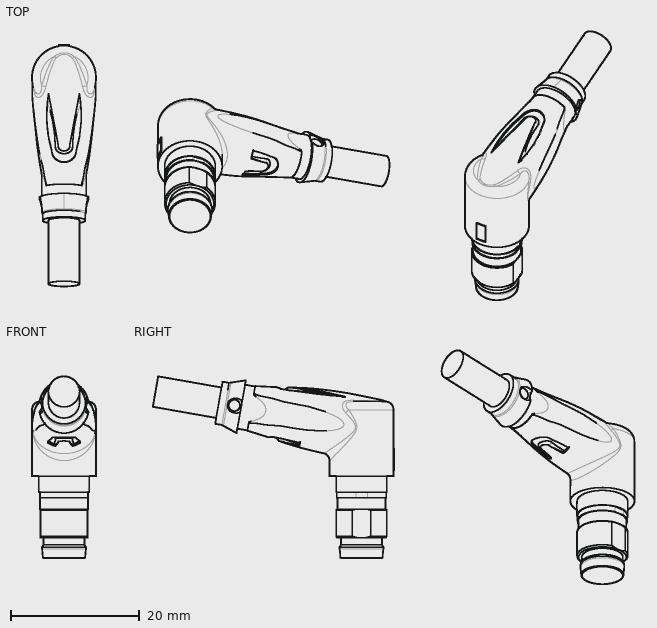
import cadquery as cq
import math

TIP_END_RADIUS = 3.3
TIP_RADIUS = 3.43
TIP_GROOVE_RADIUS = 3.2
TIP_EDGE_BEVEL = 0.12
TIP_RIM_BOTTOM = 1.47
TIP_RIM_TOP = 1.72
TIP_TOP = 2.12
NUT_BOTTOM = 3.17
NUT_TOP = 7.63
NUT_RADIUS = 3.95
NUT_BOTTOM_BEVEL = 0.25
NUT_TOP_BEVEL = 0.15
NUT_FLAT_HALF_WIDTH = 1.42
NECK_RADIUS = 3.74
RING_BOTTOM = 9.39
RING_TOP = 10.29
RING_RADIUS = 3.87
RING_FLAT_HALF_WIDTH = 0.9
SLEEVE_RADIUS = NUT_RADIUS

BODY_RADIUS = 5.0
BODY_BOTTOM = 12.78
BODY_TOP = 24.4
BODY_TOP_FILLET = 1.3
SEAM_FILLET = 1.1
MARK_WIDTH = 1.6
MARK_BOTTOM = 13.7
MARK_TOP = 17.0
MARK_HEIGHT = 0.1

ARM_TILT = 10.0
ARM_AXIS_HEIGHT = 20.28
BOOT_END = 17.4
BOOT_END_RADIUS = 3.55
STRAP_RADIUS = 3.49
STRAP_START = 2.0
COLLAR_START = 18.99
COLLAR_TAPER_END = 21.25
COLLAR_BEVEL_END = 21.5
COLLAR_END = 22.53
COLLAR_HALF_WIDTH = 3.9
COLLAR_HALF_HEIGHT = 4.18
COLLAR_TAPER_RADIUS = 3.42
COLLAR_END_RADIUS = 3.34
CABLE_RADIUS = 2.42
CABLE_END = 32.54

BOOT_BACK = (-4.3, 3.7)
BOOT_OUTLINE = [
    (-3.3, 4.62),
    (-1.5, 4.86),
    (2.5, 4.96),
    (6.2, 4.88),
    (9.6, 4.62),
    (13.2, 4.1),
    (BOOT_END, BOOT_END_RADIUS),
]
BOOT_BACK_INSET = 0.15

SIDE_SECTIONS = [
    (2.0, 5.02, 12.0),
    (7.7, 4.52, 11.0),
    (12.2, 3.98, 6.7),
    (15.0, 3.52, 5.0),
    (BOOT_END, 3.15, 4.39),
]
SIDE_BACK_WIDENING = 0.2

GROOVE_DEPTH = 0.3
GROOVE_TIP = (2.4, 3.3)
GROOVE_OUTER_SIDE = (2.68, 7.2)
GROOVE_OUTER_TURN = (1.9, 12.2)
GROOVE_OUTER_END = 14.0
PAD_TURN = (0.85, 11.6)
PAD_END = 12.25
PAD_SLOPE_TOP = 4.3
PAD_SLOPE_DEPTH = 0.8
PAD_SLOPE_ANGLE = 45.0
LOWER_GROOVE_START = 9.0

DIMPLE_POSITION = 20.07
DIMPLE_FLOOR_RADIUS = 0.88
DIMPLE_FLOOR = 3.2
DIMPLE_MOUTH_RADIUS = 1.45
DIMPLE_MOUTH = 3.9


def disc(radius, bottom, top):
    return cq.Workplane("XY").workplane(offset=bottom).circle(radius).extrude(top - bottom)


def flatted(solid, radius, half_width):
    """Cut flats of the given half width on the -X and +X sides of a round solid."""
    across = 2 * math.sqrt(radius**2 - half_width**2)
    return solid.intersect(cq.Workplane("XY").box(across, 4 * radius, 4 * BODY_TOP))


def make_tip():
    outline = [
        (0, 0),
        (TIP_END_RADIUS - TIP_EDGE_BEVEL, 0),
        (TIP_END_RADIUS, TIP_EDGE_BEVEL),
        (TIP_RADIUS, TIP_RIM_BOTTOM),
        (TIP_RADIUS, TIP_RIM_TOP),
        (TIP_GROOVE_RADIUS, TIP_TOP),
        (TIP_GROOVE_RADIUS, NUT_BOTTOM),
        (0, NUT_BOTTOM),
    ]
    return cq.Workplane("XZ").polyline(outline).close().revolve(360, (0, 0), (0, 1))


def make_plug():
    nut = disc(NUT_RADIUS, NUT_BOTTOM, NUT_TOP)
    nut = nut.faces("<Z").chamfer(NUT_BOTTOM_BEVEL).faces(">Z").chamfer(NUT_TOP_BEVEL)
    nut = flatted(nut, NUT_RADIUS, NUT_FLAT_HALF_WIDTH)
    neck = disc(NECK_RADIUS, NUT_TOP, RING_BOTTOM)
    ring = flatted(disc(RING_RADIUS, RING_BOTTOM, RING_TOP), RING_RADIUS, RING_FLAT_HALF_WIDTH)
    sleeve = disc(SLEEVE_RADIUS, RING_TOP, BODY_BOTTOM)
    return make_tip().union(nut).union(neck).union(ring).union(sleeve)


def make_body():
    body = disc(BODY_RADIUS, BODY_BOTTOM, BODY_TOP).faces(">Z").edges().fillet(BODY_TOP_FILLET)
    mark = (
        cq.Workplane("XY")
        .workplane(offset=MARK_BOTTOM)
        .center(0, BODY_RADIUS / 2)
        .rect(MARK_WIDTH, BODY_RADIUS + 2 * MARK_HEIGHT)
        .extrude(MARK_TOP - MARK_BOTTOM)
    )
    return body.union(mark)


def along_arm(start):
    return cq.Workplane("XZ").workplane(offset=start)


def rod(radius, start, end):
    return along_arm(start).circle(radius).extrude(end - start)


def make_round_boot(inset=0.0):
    """The boot before its sides are flattened, with its surface moved inward by inset."""
    back_position, back_radius = BOOT_BACK
    points = [(-position, radius - inset) for position, radius in BOOT_OUTLINE]
    return (
        cq.Workplane("YZ")
        .moveTo(-back_position, 0)
        .lineTo(-back_position, back_radius - inset)
        .spline(points, includeCurrent=True)
        .lineTo(-BOOT_END, 0)
        .close()
        .revolve(360, (0, 0), (1, 0))
    )


def make_side_envelope():
    start = BOOT_BACK[0]
    first_half_width, first_half_height = SIDE_SECTIONS[0][1:]
    wires = along_arm(start).ellipse(first_half_width + SIDE_BACK_WIDENING, first_half_height)
    for position, half_width, half_height in SIDE_SECTIONS:
        wires = wires.workplane(offset=position - start).ellipse(half_width, half_height)
        start = position
    return wires.loft(ruled=False)


def pad_outline():
    """The tongue inside the U, on a level at its upper edge."""
    tip_x, tip_position = GROOVE_TIP
    pad_turn_x, pad_turn_position = PAD_TURN
    return (
        cq.Workplane("XY")
        .workplane(offset=PAD_SLOPE_TOP)
        .moveTo(-tip_x, -tip_position)
        .lineTo(tip_x, -tip_position)
        .lineTo(pad_turn_x, -pad_turn_position)
        .threePointArc((0, -PAD_END), (-pad_turn_x, -pad_turn_position))
        .close()
    )


def make_upper_groove():
    tip_x, tip_position = GROOVE_TIP
    side_x, side_position = GROOVE_OUTER_SIDE
    turn_x, turn_position = GROOVE_OUTER_TURN
    outer = (
        cq.Workplane("XY")
        .moveTo(-tip_x, -tip_position)
        .lineTo(tip_x, -tip_position)
        .threePointArc((side_x, -side_position), (turn_x, -turn_position))
        .threePointArc((0, -GROOVE_OUTER_END), (-turn_x, -turn_position))
        .threePointArc((-side_x, -side_position), (-tip_x, -tip_position))
        .close()
        .extrude(2 * BODY_RADIUS)
    )
    pad_slope = pad_outline().extrude(-PAD_SLOPE_DEPTH, taper=-PAD_SLOPE_ANGLE)
    pad_top = pad_outline().extrude(BODY_RADIUS)
    return outer.cut(pad_top).cut(pad_slope).cut(make_round_boot(GROOVE_DEPTH))


def make_lower_groove():
    before_start = cq.Workplane("XY").box(4 * BODY_RADIUS, 2 * LOWER_GROOVE_START, 4 * BODY_RADIUS)
    return make_upper_groove().mirror("XY").cut(before_start)


def make_collar():
    taper = (
        along_arm(COLLAR_START)
        .ellipse(COLLAR_HALF_WIDTH, COLLAR_HALF_HEIGHT)
        .workplane(offset=COLLAR_TAPER_END - COLLAR_START)
        .circle(COLLAR_TAPER_RADIUS)
        .workplane(offset=COLLAR_BEVEL_END - COLLAR_TAPER_END)
        .circle(COLLAR_END_RADIUS)
        .loft(ruled=True)
    )
    collar = taper.union(rod(COLLAR_END_RADIUS, COLLAR_BEVEL_END, COLLAR_END))
    for side in (1, -1):
        dimple = cq.Solid.makeCone(
            DIMPLE_FLOOR_RADIUS,
            DIMPLE_MOUTH_RADIUS,
            DIMPLE_MOUTH - DIMPLE_FLOOR,
            cq.Vector(side * DIMPLE_FLOOR, -DIMPLE_POSITION, 0),
            cq.Vector(side, 0, 0),
        )
        collar = collar.cut(cq.Workplane(dimple))
    return collar


def tilted(shape):
    return shape.rotate((0, 0, 0), (1, 0, 0), -ARM_TILT).translate((0, 0, ARM_AXIS_HEIGHT))


def make_boot():
    boot = make_round_boot().intersect(make_side_envelope())
    boot = tilted(boot.cut(make_upper_groove()).cut(make_lower_groove()))
    inside_body = disc(BODY_RADIUS - BOOT_BACK_INSET, BODY_BOTTOM, 2 * BODY_TOP)
    ahead_of_body = cq.Workplane("XY").box(CABLE_END, CABLE_END, 4 * BODY_TOP).translate((0, -CABLE_END / 2, 0))
    room = inside_body.union(ahead_of_body)
    return boot.intersect(room)


def make_arm_end():
    strap = rod(STRAP_RADIUS, STRAP_START, COLLAR_START)
    return tilted(strap.union(make_collar()).union(rod(CABLE_RADIUS, COLLAR_END, CABLE_END)))


def make_housing():
    """Body and boot, blended into each other where the boot leaves the body."""
    housing = make_body().union(make_boot())
    gap = 0.01
    side = BODY_RADIUS + gap
    low_front = (-side, -side, BODY_BOTTOM)
    high_back = (side, 0, BODY_TOP - BODY_TOP_FILLET + gap)
    around_seam = cq.selectors.BoxSelector(low_front, high_back, boundingbox=True)
    return housing.edges(around_seam).edges("%BSPLINE").fillet(SEAM_FILLET)


result = make_plug().union(make_housing()).union(make_arm_end())